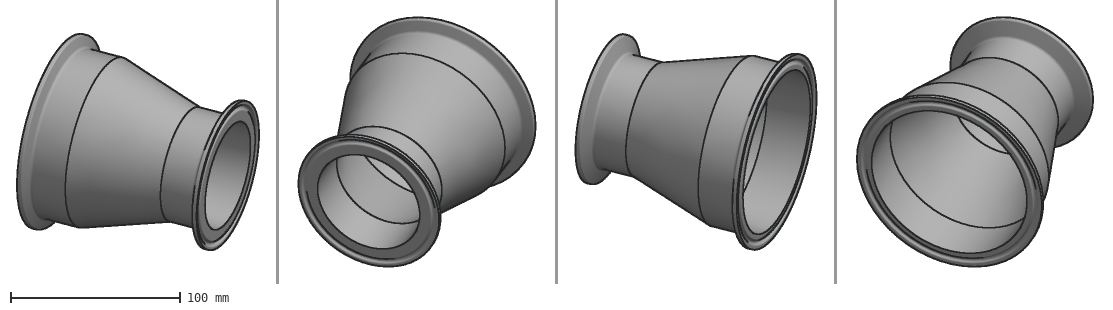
import cadquery as cq
import math

total_length = 110.0
ferrule_length = 28.0
wall = 2.0

large_pipe_diameter = 104.0
large_flange_diameter = 119.0
large_groove_diameter = 110.3

small_pipe_diameter = 70.0
small_flange_diameter = 91.0
small_groove_diameter = 83.5

rim_thickness = 2.85
back_taper = 20.0
rim_radius = 1.0
root_radius = 2.0

groove_bottom_radius = 1.4
groove_lip_radius = 1.1
groove_sweep = 65.0

X_AXIS = ((0, 0, 0), (1, 0, 0))


def flanged_tube(pipe_diameter, flange_diameter):
    """Tube along +X with a tapered clamp flange whose sealing face is at X = 0."""
    pipe_radius = pipe_diameter / 2
    bore_radius = pipe_radius - wall
    flange_radius = flange_diameter / 2
    taper = math.radians(back_taper)
    root_x = rim_thickness + (flange_radius - pipe_radius) * math.tan(taper)

    corner_turn = math.radians(90 - back_taper)
    rim_setback = rim_radius * math.tan(corner_turn / 2)
    root_setback = root_radius * math.tan(corner_turn / 2)
    cone_dx = math.sin(taper)
    cone_dr = -math.cos(taper)

    rim_arc_start = (rim_thickness - rim_setback, flange_radius)
    rim_arc_end = (rim_thickness + rim_setback * cone_dx, flange_radius + rim_setback * cone_dr)
    root_arc_start = (root_x - root_setback * cone_dx, pipe_radius - root_setback * cone_dr)
    root_arc_end = (root_x + root_setback, pipe_radius)

    profile = (
        cq.Workplane("XY")
        .moveTo(0, bore_radius)
        .lineTo(0, flange_radius)
        .lineTo(*rim_arc_start)
        .tangentArcPoint(rim_arc_end, relative=False)
        .lineTo(*root_arc_start)
        .tangentArcPoint(root_arc_end, relative=False)
        .lineTo(ferrule_length, pipe_radius)
        .lineTo(ferrule_length, bore_radius)
        .close()
    )
    return profile.revolve(360, *X_AXIS)


def seal_groove(groove_diameter):
    """Ring of material removed from the sealing face at X = 0."""
    center_radius = groove_diameter / 2
    sweep = math.radians(groove_sweep)
    half_sweep = sweep / 2
    depth = (groove_bottom_radius + groove_lip_radius) * (1 - math.cos(sweep))
    bottom_half_width = groove_bottom_radius * math.sin(sweep)
    lip_width = groove_lip_radius * math.sin(sweep)
    half_width = bottom_half_width + lip_width
    lip_depth = groove_lip_radius * (1 - math.cos(sweep))
    lip_mid_depth = groove_lip_radius * (1 - math.cos(half_sweep))
    lip_mid_offset = half_width - groove_lip_radius * math.sin(half_sweep)

    profile = (
        cq.Workplane("XY")
        .moveTo(0, center_radius - half_width)
        .threePointArc(
            (lip_mid_depth, center_radius - lip_mid_offset),
            (lip_depth, center_radius - bottom_half_width),
        )
        .threePointArc((depth, center_radius), (lip_depth, center_radius + bottom_half_width))
        .threePointArc(
            (lip_mid_depth, center_radius + lip_mid_offset),
            (0, center_radius + half_width),
        )
        .close()
    )
    return profile.revolve(360, *X_AXIS)


def ferrule(pipe_diameter, flange_diameter, groove_diameter):
    return flanged_tube(pipe_diameter, flange_diameter).cut(seal_groove(groove_diameter))


def reducer_cone():
    """Conical shell of the same wall as the pipes, spanning the gap between the ferrules."""
    start_x = ferrule_length
    end_x = total_length - ferrule_length
    large_radius = large_pipe_diameter / 2
    small_radius = small_pipe_diameter / 2
    profile = cq.Workplane("XY").polyline([
        (start_x, large_radius - wall),
        (start_x, large_radius),
        (end_x, small_radius),
        (end_x, small_radius - wall),
    ]).close()
    return profile.revolve(360, *X_AXIS)


large_ferrule = ferrule(large_pipe_diameter, large_flange_diameter, large_groove_diameter)

reducer = reducer_cone()

small_ferrule = (
    ferrule(small_pipe_diameter, small_flange_diameter, small_groove_diameter)
    .rotate((0, 0, 0), (0, 0, 1), 180)
    .translate((total_length, 0, 0))
)

result = cq.Compound.makeCompound([large_ferrule.val(), reducer.val(), small_ferrule.val()])